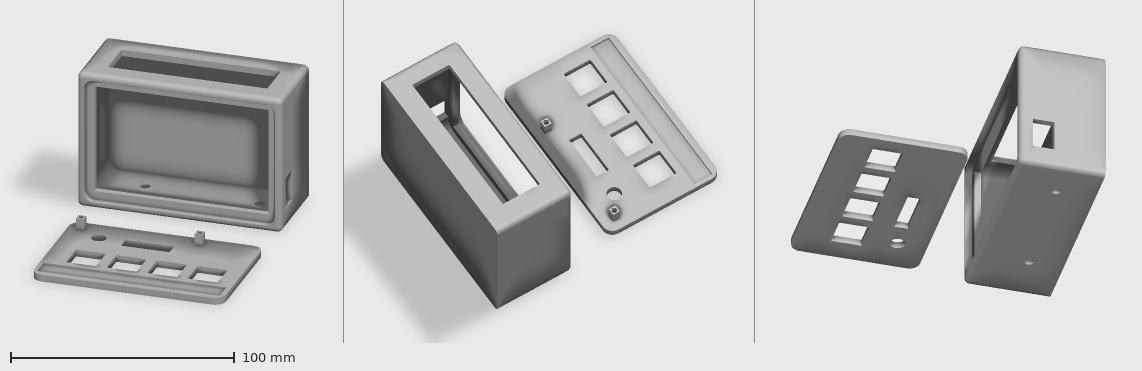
import cadquery as cq
import math

total_depth = 122.2

housing_width = 96.1
housing_depth = 40.0
housing_height = 65.6
wall = 3.0
outer_fillet = 2.6
cavity_corner_radius = 5.0

panel_width = housing_width - 2 * wall
panel_length = housing_height - 2 * wall
panel_thickness = 3.3
panel_corner_radius = 5.0
ledge_opening_width = 81.9
ledge_opening_height = 51.3
ledge_thickness = 3.0
ledge_back = panel_thickness + ledge_thickness

window_width = 74.9
window_depth = 19.7
window_offset_x = 0.7

floor_hole_diameter = 4.2
floor_counterbore_diameter = 4.6
floor_counterbore_depth = 1.1
floor_holes = [(-23.7, 24.0), (30.8, 21.7)]

slot_width = 9.8
slot_height = 15.0
slot_bottom = 9.8

panel_center_x = 2.3
panel_center_y = housing_depth - total_depth + panel_length / 2

knob_hole_diameter = 7.0
knob_hole_center = (-28.1, 16.1)
display_width = 23.0
display_height = 6.5
display_center = (-4.8, 14.5)
key_size = 14.2
key_corner_radius = 0.5
key_pitch = 19.0
key_count = 4
key_row_center = (1.7, -6.1)
tray_width = 85.9
tray_height = 9.5
tray_depth = 1.0
tray_center = (-0.2, -21.6)

post_size = 3.7
post_height = 5.9
post_centers = [(-38.6, 22.8), (17.0, 23.3)]
bore_diameter = 2.6
bore_depth = 4.0
drill_point_angle = 118


def front_block(width, height, y_start, y_end, corner_radius=0):
    """Block centred on the housing front, reaching from y_start to y_end."""
    block = (
        cq.Workplane("XY")
        .box(width, y_end - y_start, height, centered=(True, False, True))
        .translate((0, y_start, housing_height / 2))
    )
    if corner_radius:
        block = block.edges("|Y").fillet(corner_radius)
    return block


def make_housing():
    body = front_block(housing_width, housing_height, 0, housing_depth)
    body = body.edges("|Y or <Y").fillet(outer_fillet)

    recess = front_block(panel_width, panel_length, 0, panel_thickness, panel_corner_radius)
    ledge_opening = front_block(
        ledge_opening_width, ledge_opening_height, panel_thickness, ledge_back
    )
    cavity = front_block(
        panel_width, panel_length, ledge_back, housing_depth - wall, cavity_corner_radius
    )
    body = body.cut(recess).cut(ledge_opening).cut(cavity)

    window = (
        cq.Workplane("XY", origin=(window_offset_x, housing_depth / 2, housing_height - wall))
        .rect(window_width, window_depth)
        .extrude(wall)
    )
    screw_holes = (
        cq.Workplane("XY", origin=(0, 0, wall))
        .pushPoints(floor_holes)
        .circle(floor_hole_diameter / 2)
        .extrude(-wall)
        .pushPoints(floor_holes)
        .circle(floor_counterbore_diameter / 2)
        .extrude(-floor_counterbore_depth)
    )
    slot = cq.Workplane("XY").box(wall, slot_width, slot_height, centered=False)
    slot = slot.translate((housing_width / 2 - wall, ledge_back, slot_bottom))
    return body.cut(window).cut(screw_holes).cut(slot)


def make_panel():
    plate = (
        cq.Workplane("XY")
        .rect(panel_width, panel_length)
        .extrude(panel_thickness)
        .edges("|Z")
        .fillet(panel_corner_radius)
    )
    knob_hole = (
        cq.Workplane("XY")
        .center(*knob_hole_center)
        .circle(knob_hole_diameter / 2)
        .extrude(panel_thickness)
    )
    display_opening = (
        cq.Workplane("XY")
        .center(*display_center)
        .rect(display_width, display_height)
        .extrude(panel_thickness)
    )
    key_openings = (
        cq.Workplane("XY")
        .center(*key_row_center)
        .rarray(key_pitch, 1.2, key_count, 1)
        .rect(key_size, key_size)
        .extrude(panel_thickness)
        .edges("|Z")
        .fillet(key_corner_radius)
    )
    tray = (
        cq.Workplane("XY", origin=(0, 0, panel_thickness - tray_depth))
        .center(*tray_center)
        .rect(tray_width, tray_height)
        .extrude(tray_depth)
    )
    plate = plate.cut(knob_hole).cut(display_opening).cut(key_openings).cut(tray)
    return plate.translate((panel_center_x, panel_center_y, 0))


def make_post(center):
    """Square post with a blind drilled bore."""
    body = cq.Workplane("XY").rect(post_size, post_size).extrude(post_height)
    bore_radius = bore_diameter / 2
    point_length = bore_radius / math.tan(math.radians(drill_point_angle / 2))
    bore_bottom = post_height - bore_depth
    bore = (
        cq.Workplane("XZ")
        .moveTo(0, post_height)
        .lineTo(bore_radius, post_height)
        .lineTo(bore_radius, bore_bottom)
        .lineTo(0, bore_bottom - point_length)
        .close()
        .revolve(360, (0, 0, 0), (0, 1, 0))
    )
    x, y = center
    return body.cut(bore).translate((panel_center_x + x, panel_center_y + y, panel_thickness))


housing = make_housing()
panel = make_panel()
posts = [make_post(center) for center in post_centers]

result = cq.Compound.makeCompound([housing.val(), panel.val(), *[post.val() for post in posts]])